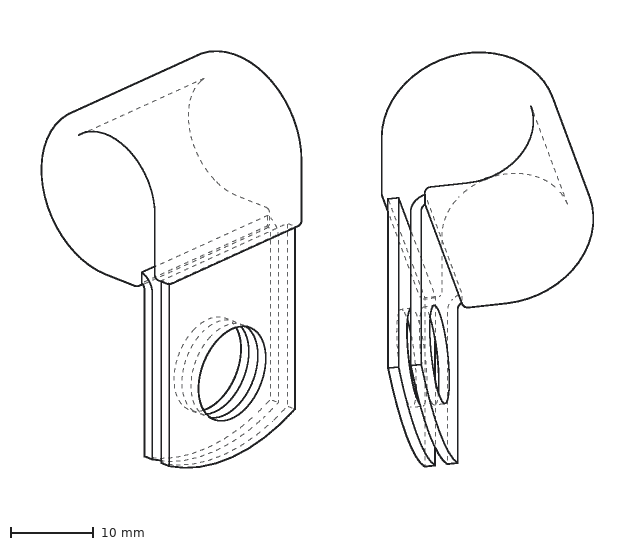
import cadquery as cq

loop_diameter = 21.5
cushion_length = 23.8
overall_height = 46.45
strip_thickness = 1.3
cushion_cover = 0.765
edge_radius = 0.75
side_margin = 0.8
side_end_drop = 8.78
bottom_end_reach = 5.45
bend_inner_radius = 1.0
leg_inner_x = 5.9
hole_diameter = 11.9
hole_z = -24.55
tip_radius = 25.0

loop_radius = loop_diameter / 2
cushion_thickness = strip_thickness + 2 * cushion_cover
bore_radius = loop_radius - cushion_thickness
strip_outer = loop_radius - cushion_cover
strip_inner = strip_outer - strip_thickness
strip_width = cushion_length - 2 * side_margin
bottom_z = loop_radius - overall_height
bend_outer_radius = bend_inner_radius + strip_thickness
bend_center_z = -strip_outer - bend_inner_radius
bend_center_x = leg_inner_x - bend_inner_radius
leg_outer_x = leg_inner_x + strip_thickness
diagonal = 0.5 ** 0.5


def extrude_along_y(outline, width):
    """Extrude a closed XZ outline symmetrically about the Y = 0 plane."""
    return outline.close().extrude(width / 2, both=True)


def make_cushion():
    """Three-quarter loop with a straight run at each end and rounded edges."""
    outline = (
        cq.Workplane("XZ")
        .moveTo(loop_radius, -side_end_drop)
        .lineTo(loop_radius, 0)
        .threePointArc((-loop_radius * diagonal, loop_radius * diagonal), (0, -loop_radius))
        .lineTo(bottom_end_reach, -loop_radius)
        .lineTo(bottom_end_reach, -bore_radius)
        .lineTo(0, -bore_radius)
        .threePointArc((-bore_radius * diagonal, bore_radius * diagonal), (bore_radius, 0))
        .lineTo(bore_radius, -side_end_drop)
    )
    cushion = extrude_along_y(outline, cushion_length)
    end_points = (
        (loop_radius, 0, -side_end_drop),
        (bore_radius, 0, -side_end_drop),
        (bottom_end_reach, 0, -loop_radius),
        (bottom_end_reach, 0, -bore_radius),
    )
    for point in end_points:
        end_edge = cushion.edges(cq.selectors.NearestToPointSelector(point))
        cushion = end_edge.fillet(edge_radius)
    return cushion.faces("<Y or >Y").edges().fillet(edge_radius)


def make_side_leg():
    """Straight leg continuing down from the side of the loop."""
    outline = (
        cq.Workplane("XZ")
        .moveTo(strip_inner, -bore_radius)
        .lineTo(strip_outer, -bore_radius)
        .lineTo(strip_outer, bottom_z)
        .lineTo(strip_inner, bottom_z)
    )
    return extrude_along_y(outline, strip_width)


def make_bent_leg():
    """Leg leaving the bottom of the loop and bending downward."""
    outline = (
        cq.Workplane("XZ")
        .moveTo(0, -strip_inner)
        .lineTo(bend_center_x, -strip_inner)
        .radiusArc((leg_outer_x, bend_center_z), bend_outer_radius)
        .lineTo(leg_outer_x, bottom_z)
        .lineTo(leg_inner_x, bottom_z)
        .lineTo(leg_inner_x, bend_center_z)
        .radiusArc((bend_center_x, -strip_outer), -bend_inner_radius)
        .lineTo(0, -strip_outer)
    )
    return extrude_along_y(outline, strip_width)


def make_leg_envelope():
    """Round block along X whose lower edge shapes the leg tips."""
    return cq.Workplane("YZ").center(0, bottom_z + tip_radius).circle(tip_radius).extrude(loop_diameter)


def make_bolt_hole():
    """Cylinder along X that passes through both legs."""
    return cq.Workplane("YZ").center(0, hole_z).circle(hole_diameter / 2).extrude(loop_diameter)


legs = make_side_leg().union(make_bent_leg())
legs = legs.intersect(make_leg_envelope()).cut(make_bolt_hole())
result = make_cushion().union(legs)